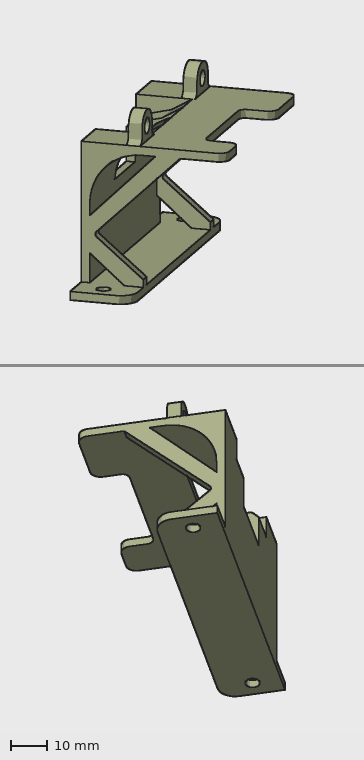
import cadquery as cq
import math

BODY_WIDTH = 63.3
BASE_WIDTH = 83.3
BASE_DEPTH = 18.0
SHELF_DEPTH = 42.0
SHELF_TOP = 42.8
PLATE = 2.5
SHELF_UNDER = SHELF_TOP - PLATE
BODY_END = BODY_WIDTH / 2

EAR_CORNER_RADIUS = 5.0
EAR_HOLE_DIAMETER = 4.0
EAR_HOLE_X = 8.0
EAR_HOLE_Y_MIN = -36.55
EAR_HOLE_Y_MAX = 36.4

WEB_RADIUS = 15.0

RIB_THICKNESS = 3.0
UPPER_STRUT_INNER_Z = 21.8
UPPER_STRUT_INNER_X = 21.4
UPPER_STRUT_OUTER_X = 28.6
STRUT_CROTCH_X = 3.6
STRUT_CROTCH_Z = 16.5
STRUT_CROTCH_RADIUS = 1.0
LOWER_STRUT_INNER_Z = 11.0
LOWER_STRUT_INNER_X = 12.5
LOWER_STRUT_END_Z = 4.7

CUTOUT_X = 31.9
CUTOUT_Y_MIN = -20.2
CUTOUT_Y_MAX = 12.45
SHELF_CORNER_RADIUS = 3.0
CUTOUT_CORNER_RADIUS = 2.0

NOTCH_Y_MIN = -18.7
NOTCH_Y_MAX = 17.6
NOTCH_DEPTH = 16.3
NOTCH_CHAMFER = 2.0
NOTCH_LEDGE_Z = 37.8
NOTCH_LEDGE_X = 4.5
NOTCH_BEND_X = 10.3
NOTCH_BEND_Z = 39.3
WINDOW_WIDTH = 18.0
WINDOW_CENTER_Y = -0.15
WINDOW_BOTTOM = 26.0

LUG_X = 13.0
LUG_THICKNESS = 4.0
LUG_HEIGHT = 8.9
LUG_FILLET = 2.0
LUG_HOLE_DIAMETER = 4.5
LUG_HOLE_HEIGHT = 4.2
LUG_TOP_FLAT = 0.5


def xz_prism(profile, y_min, y_max):
    """Extrude a closed XZ profile from y_min to y_max."""
    return profile.extrude(y_min - y_max).translate((0, y_min, 0))


def make_base():
    base = cq.Workplane("XY").box(BASE_DEPTH, BASE_WIDTH, PLATE, centered=(False, True, False))
    base = base.edges("|Z and >X").fillet(EAR_CORNER_RADIUS)
    holes = (
        cq.Workplane("XY")
        .pushPoints([(EAR_HOLE_X, EAR_HOLE_Y_MIN), (EAR_HOLE_X, EAR_HOLE_Y_MAX)])
        .circle(EAR_HOLE_DIAMETER / 2)
        .extrude(PLATE)
    )
    return base.cut(holes)


def make_shelf():
    shelf = cq.Workplane("XY").box(SHELF_DEPTH, BODY_WIDTH, PLATE, centered=(False, True, False))
    cutout = (
        cq.Workplane("XY")
        .box(SHELF_DEPTH - CUTOUT_X, CUTOUT_Y_MAX - CUTOUT_Y_MIN, PLATE, centered=False)
        .translate((CUTOUT_X, CUTOUT_Y_MIN, 0))
    )
    shelf = shelf.cut(cutout)
    shelf = shelf.edges("|Z and >X").fillet(SHELF_CORNER_RADIUS)
    inner_corners = cq.selectors.BoxSelector(
        (CUTOUT_X - PLATE / 2, -BODY_END, -PLATE), (CUTOUT_X + PLATE / 2, BODY_END, 2 * PLATE)
    )
    shelf = shelf.edges("|Z").edges(inner_corners).fillet(CUTOUT_CORNER_RADIUS)
    return shelf.translate((0, 0, SHELF_UNDER))


def make_wall_and_web():
    """Upright wall whose top curves into the underside of the shelf."""
    arc_center_x = PLATE + WEB_RADIUS
    arc_center_z = SHELF_UNDER - WEB_RADIUS
    arc_reach = WEB_RADIUS * math.sqrt(0.5)
    profile = (
        cq.Workplane("XZ")
        .lineTo(PLATE, 0)
        .lineTo(PLATE, arc_center_z)
        .threePointArc(
            (arc_center_x - arc_reach, arc_center_z + arc_reach), (arc_center_x, SHELF_UNDER)
        )
        .lineTo(arc_center_x, SHELF_TOP)
        .lineTo(0, SHELF_TOP)
        .close()
    )
    return xz_prism(profile, -BODY_END, BODY_END)


def make_rib(y_min):
    """Two struts that brace the shelf and the base against the wall."""
    y_max = y_min + RIB_THICKNESS
    outline = (
        cq.Workplane("XZ")
        .moveTo(PLATE, PLATE)
        .lineTo(BASE_DEPTH, PLATE)
        .lineTo(BASE_DEPTH, LOWER_STRUT_END_Z)
        .lineTo(STRUT_CROTCH_X, STRUT_CROTCH_Z)
        .lineTo(UPPER_STRUT_OUTER_X, SHELF_UNDER)
        .lineTo(PLATE, SHELF_UNDER)
        .close()
    )
    upper_opening = (
        cq.Workplane("XZ")
        .moveTo(PLATE, UPPER_STRUT_INNER_Z)
        .lineTo(UPPER_STRUT_INNER_X, SHELF_UNDER)
        .lineTo(PLATE, SHELF_UNDER)
        .close()
    )
    lower_opening = (
        cq.Workplane("XZ")
        .moveTo(PLATE, PLATE)
        .lineTo(LOWER_STRUT_INNER_X, PLATE)
        .lineTo(PLATE, LOWER_STRUT_INNER_Z)
        .close()
    )
    rib = xz_prism(outline, y_min, y_max)
    crotch = cq.selectors.NearestToPointSelector((STRUT_CROTCH_X, y_min, STRUT_CROTCH_Z))
    rib = rib.edges("|Y").edges(crotch).fillet(STRUT_CROTCH_RADIUS)
    for opening in (upper_opening, lower_opening):
        rib = rib.cut(xz_prism(opening, y_min, y_max))
    return rib


def make_notch():
    """Cutter for the chamfered, ramped notch in the wall's upper edge."""
    profile = (
        cq.Workplane("XZ")
        .moveTo(0, NOTCH_LEDGE_Z - NOTCH_CHAMFER)
        .lineTo(NOTCH_CHAMFER, NOTCH_LEDGE_Z)
        .lineTo(NOTCH_LEDGE_X, NOTCH_LEDGE_Z)
        .lineTo(NOTCH_BEND_X, NOTCH_BEND_Z)
        .lineTo(NOTCH_DEPTH, SHELF_TOP)
        .lineTo(0, SHELF_TOP)
        .close()
    )
    return xz_prism(profile, NOTCH_Y_MIN, NOTCH_Y_MAX)


def make_window():
    """Cutter for the rectangular window through wall, web and shelf."""
    return (
        cq.Workplane("XY")
        .box(NOTCH_DEPTH, WINDOW_WIDTH, SHELF_TOP - WINDOW_BOTTOM, centered=(False, True, False))
        .translate((0, WINDOW_CENTER_Y, WINDOW_BOTTOM))
    )


def make_lug(y_min, y_max, top_flat):
    """Eye with rounded top corners whose foot flares out to reach from y_min to y_max."""
    left = y_min + LUG_FILLET
    right = y_max - LUG_FILLET
    foot_z = SHELF_TOP + LUG_FILLET
    top_z = SHELF_TOP + LUG_HEIGHT
    top_radius = (right - left - top_flat) / 2
    shoulder_z = top_z - top_radius
    center_y = (y_min + y_max) / 2
    profile = (
        cq.Workplane("YZ")
        .moveTo(y_min, SHELF_TOP)
        .radiusArc((left, foot_z), -LUG_FILLET)
        .lineTo(left, shoulder_z)
        .radiusArc((left + top_radius, top_z), top_radius)
    )
    if top_flat > 0:
        profile = profile.lineTo(right - top_radius, top_z)
    profile = (
        profile
        .radiusArc((right, shoulder_z), top_radius)
        .lineTo(right, foot_z)
        .radiusArc((y_max, SHELF_TOP), -LUG_FILLET)
        .close()
    )
    hole = (
        cq.Workplane("YZ")
        .center(center_y, SHELF_TOP + LUG_HOLE_HEIGHT)
        .circle(LUG_HOLE_DIAMETER / 2)
        .extrude(LUG_THICKNESS)
    )
    return profile.extrude(LUG_THICKNESS).cut(hole).translate((LUG_X, 0, 0))


body = make_base().union(make_wall_and_web()).union(make_shelf())
for rib_y in (-BODY_END, BODY_END - RIB_THICKNESS):
    body = body.union(make_rib(rib_y))

body = body.cut(make_notch()).cut(make_window())

body = body.union(make_lug(-BODY_END, NOTCH_Y_MIN, 0))
body = body.union(make_lug(NOTCH_Y_MAX, BODY_END, LUG_TOP_FLAT))

result = body